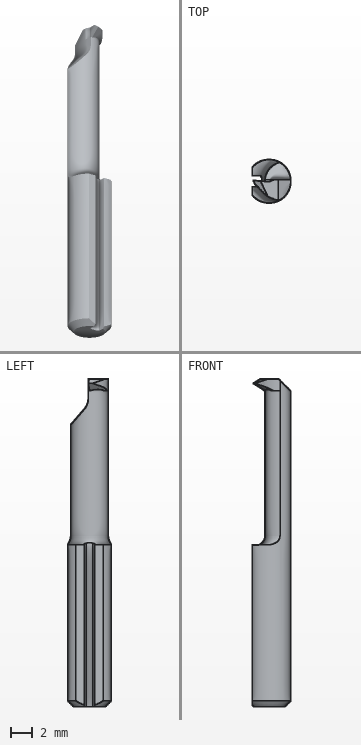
import cadquery as cq
import math

total_length = 30.0
shank_radius = 2.0
shank_top = 14.8
shank_flat_x = -1.55
bottom_chamfer = 0.55

groove_half_width = 0.5
groove_floor_x = -0.67
groove_corner_width = 0.2
groove_corner_depth = 0.1

neck_radius = 1.775
neck_axis_x = 1.4
neck_fillet = 0.82

clearance_flat_y = 0.13
runout_corner_z = 27.63
runout_angle = 41.0
runout_blend_radius = 1.45

head_bottom_z = 28.9
tip_x = -1.48
tip_z = 29.58
top_flank_slope = 0.65
lower_flank_slope = 0.66
flank_relief = 0.48
heel_start_x = -1.56
heel_end_y = -1.2
back_mid = (0.2, -1.55)
back_end = (0.8, -1.72)
nose_chamfer = 1.15

rake_tip_y = 0.1
rake_low = (0.0, -0.06)
rake_exit_x = 0.4

margin = 3.0


def make_shank():
    """Round bar with a chamfered bottom edge, one flat and a coolant groove."""
    bar = cq.Workplane("XY").circle(shank_radius).extrude(total_length)
    bar = bar.faces("<Z").edges().chamfer(bottom_chamfer)
    flat_tool = cq.Workplane("XY").box(
        margin, 2 * margin, total_length, centered=(False, True, False)
    ).translate((shank_flat_x - margin, 0, 0))
    corner_x = groove_floor_x - groove_corner_depth
    floor_half_width = groove_half_width - groove_corner_width
    groove_tool = (
        cq.Workplane("XY")
        .moveTo(shank_flat_x - margin, -groove_half_width)
        .lineTo(corner_x, -groove_half_width)
        .lineTo(groove_floor_x, -floor_half_width)
        .lineTo(groove_floor_x, floor_half_width)
        .lineTo(corner_x, groove_half_width)
        .lineTo(shank_flat_x - margin, groove_half_width)
        .close()
        .extrude(total_length)
    )
    return bar.cut(flat_tool).cut(groove_tool)


def neck_relief_tool():
    """Ring around the neck axis that turns the bar down to the filleted neck."""
    outer_radius = neck_radius + neck_fillet + margin
    fillet_drop = neck_fillet * math.sin(math.radians(45))
    fillet_mid = (neck_radius + neck_fillet - fillet_drop, shank_top + neck_fillet - fillet_drop)
    top = total_length + margin
    ring = (
        cq.Workplane("XZ")
        .moveTo(neck_radius, top)
        .lineTo(neck_radius, shank_top + neck_fillet)
        .threePointArc(fillet_mid, (neck_radius + neck_fillet, shank_top))
        .lineTo(outer_radius, shank_top)
        .lineTo(outer_radius, top)
        .close()
        .revolve(360, (0, 0, 0), (0, 1, 0))
    )
    return ring.translate((neck_axis_x, 0, 0))


def circles_meeting_point():
    """Point on the -Y side where the neck circle crosses the shank circle."""
    x = (neck_axis_x**2 + shank_radius**2 - neck_radius**2) / (2 * neck_axis_x)
    return x, -math.sqrt(shank_radius**2 - x**2)


def make_head():
    """Pointed cutting head: relieved flanks trimmed by the heel and the round back."""
    inner_x = neck_axis_x
    flank_top_x = tip_x + (total_length - tip_z) / top_flank_slope
    flank_end_x = tip_x + (tip_z - head_bottom_z) / lower_flank_slope
    profile = cq.Wire.makePolygon(
        [
            cq.Vector(tip_x, clearance_flat_y, tip_z),
            cq.Vector(flank_top_x, clearance_flat_y, total_length),
            cq.Vector(inner_x, clearance_flat_y, total_length),
            cq.Vector(inner_x, clearance_flat_y, head_bottom_z),
            cq.Vector(flank_end_x, clearance_flat_y, head_bottom_z),
        ],
        close=True,
    )
    depth = shank_radius + clearance_flat_y
    relief_vector = cq.Vector(flank_relief * depth, -depth, 0)
    flanks = cq.Workplane(cq.Solid.extrudeLinear(profile, [], relief_vector))

    meeting_x, meeting_y = circles_meeting_point()
    outline = (
        cq.Workplane("XY")
        .moveTo(heel_start_x - clearance_flat_y, clearance_flat_y)
        .lineTo(heel_start_x - heel_end_y, heel_end_y)
        .threePointArc(back_mid, back_end)
        .lineTo(meeting_x, meeting_y)
        .lineTo(meeting_x, clearance_flat_y)
        .close()
        .extrude(total_length)
    )
    return flanks.intersect(outline)


def chip_clearance_tool():
    """Removes the +Y half of the neck end and runs out through its side."""
    angle = math.radians(runout_angle)
    half_angle = angle / 2
    tangent = runout_blend_radius * math.tan(half_angle)
    blend_start = (clearance_flat_y, runout_corner_z + tangent)
    blend_mid = (
        clearance_flat_y + runout_blend_radius * (1 - math.cos(half_angle)),
        blend_start[1] - runout_blend_radius * math.sin(half_angle),
    )
    blend_end = (
        clearance_flat_y + tangent * math.sin(angle),
        runout_corner_z - tangent * math.cos(angle),
    )
    far_y = clearance_flat_y + margin
    far_z = runout_corner_z - margin / math.tan(angle)
    top = total_length + margin
    return (
        cq.Workplane("YZ")
        .moveTo(clearance_flat_y, top)
        .lineTo(*blend_start)
        .threePointArc(blend_mid, blend_end)
        .lineTo(far_y, far_z)
        .lineTo(far_y, top)
        .close()
        .extrude(margin, both=True)
    )


def nose_chamfer_tool():
    """Triangular prism for the chamfer between the top and the +X side."""
    return (
        cq.Workplane("XZ")
        .moveTo(shank_radius - nose_chamfer, total_length)
        .lineTo(shank_radius, total_length)
        .lineTo(shank_radius, total_length - nose_chamfer)
        .close()
        .extrude(margin, both=True)
    )


def rake_groove_tool():
    """Shallow hollow in the clearance flat that forms the rake face."""
    return (
        cq.Workplane("XY")
        .workplane(offset=head_bottom_z)
        .moveTo(tip_x - margin, clearance_flat_y)
        .lineTo(tip_x - margin, rake_tip_y)
        .lineTo(tip_x, rake_tip_y)
        .lineTo(*rake_low)
        .lineTo(rake_exit_x, clearance_flat_y)
        .close()
        .extrude(total_length - head_bottom_z)
    )


result = make_shank().cut(neck_relief_tool())
result = result.cut(chip_clearance_tool())
result = result.union(make_head())
result = result.cut(nose_chamfer_tool())
result = result.cut(rake_groove_tool())